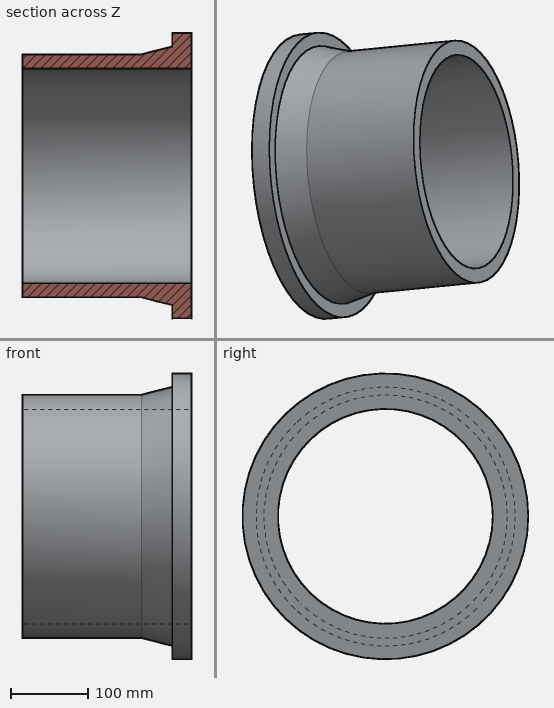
import cadquery as cq

total_length = 219.0
collar_thickness = 25.0
cone_length = 40.0

bore_diameter = 277.5
pipe_diameter = 315.0
cone_end_diameter = 335.2
collar_diameter = 370.0

pipe_end = -total_length / 2
collar_back = total_length / 2
collar_front = collar_back - collar_thickness
cone_start = collar_front - cone_length

half_section = (
    cq.Workplane("XY")
    .moveTo(pipe_end, bore_diameter / 2)
    .lineTo(pipe_end, pipe_diameter / 2)
    .lineTo(cone_start, pipe_diameter / 2)
    .lineTo(collar_front, cone_end_diameter / 2)
    .lineTo(collar_front, collar_diameter / 2)
    .lineTo(collar_back, collar_diameter / 2)
    .lineTo(collar_back, bore_diameter / 2)
    .close()
)

result = half_section.revolve(360, (0, 0, 0), (1, 0, 0))